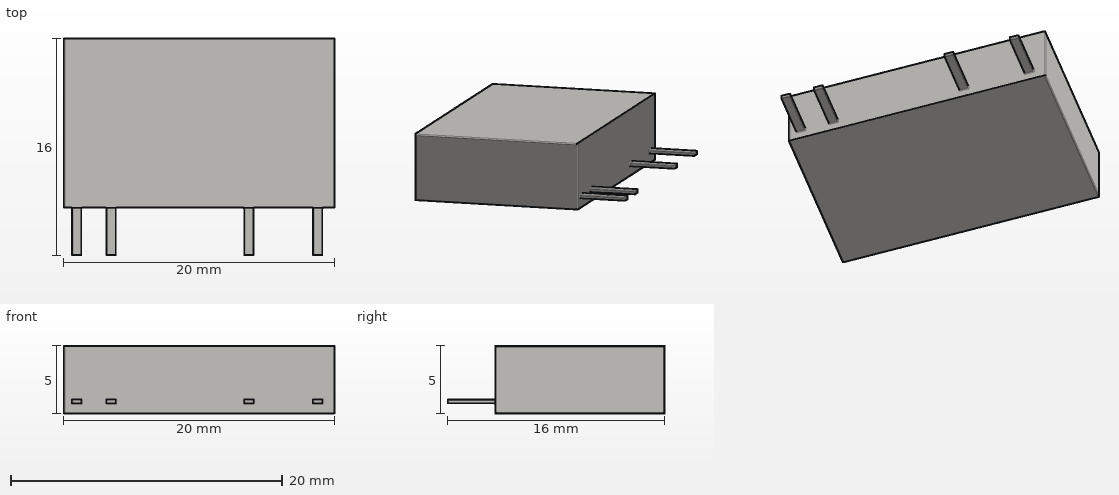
import cadquery as cq

body_length = 20.0
body_depth = 12.5
body_height = 5.0
body_edge_radius = 0.09

pin_width = 0.7
pin_thickness = 0.3
pin_length = 3.5
pin_edge_radius = 0.05
pin_pitch = 2.54
pin_slots = (0, 1, 5, 7)
first_pin_x = -9.04
pin_z = 0.9


def make_body():
    """Rectangular block with the borders of its two end faces rounded."""
    block = cq.Workplane("XY").box(body_length, body_depth, body_height, centered=(True, False, False))
    return block.faces("<X or >X").edges().fillet(body_edge_radius)


def make_pin(pin_x):
    """Square-edged pin that runs from the front face toward -Y."""
    return (
        cq.Workplane("XZ")
        .center(pin_x, pin_z)
        .rect(pin_width, pin_thickness)
        .extrude(pin_length)
    )


def round_pin(part, pin_x):
    """Round the edges of one pin, including the concave edge at its root."""
    margin = pin_edge_radius
    half_width = pin_width / 2 + margin
    half_thickness = pin_thickness / 2 + margin
    pin_zone = cq.selectors.BoxSelector(
        (pin_x - half_width, -pin_length - margin, pin_z - half_thickness),
        (pin_x + half_width, margin, pin_z + half_thickness),
    )
    return part.edges(pin_zone).fillet(pin_edge_radius)


result = make_body()
for slot in pin_slots:
    slot_x = first_pin_x + slot * pin_pitch
    result = result.union(make_pin(slot_x))
    result = round_pin(result, slot_x)